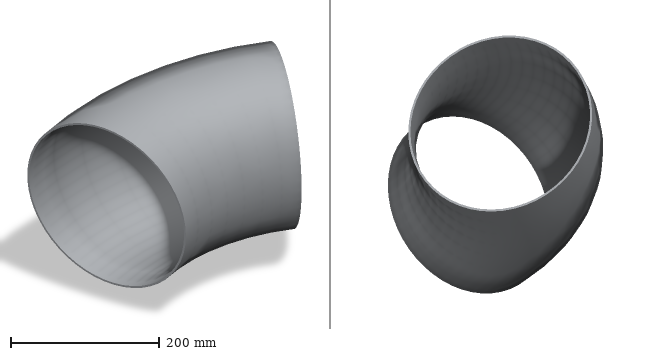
import cadquery as cq

OUTER_DIAMETER = 256.0
WALL_THICKNESS = 3.0
BEND_RADIUS = 375.0
BEND_ANGLE = 45.0

outer_radius = OUTER_DIAMETER / 2
inner_radius = outer_radius - WALL_THICKNESS


def make_elbow():
    """Revolve the ring-shaped pipe section about the vertical bend axis."""
    pipe_section = cq.Workplane("XZ").circle(outer_radius).circle(inner_radius)
    axis_start = (BEND_RADIUS, 0)
    axis_end = (BEND_RADIUS, -1)
    return pipe_section.revolve(BEND_ANGLE, axis_start, axis_end)


result = make_elbow()